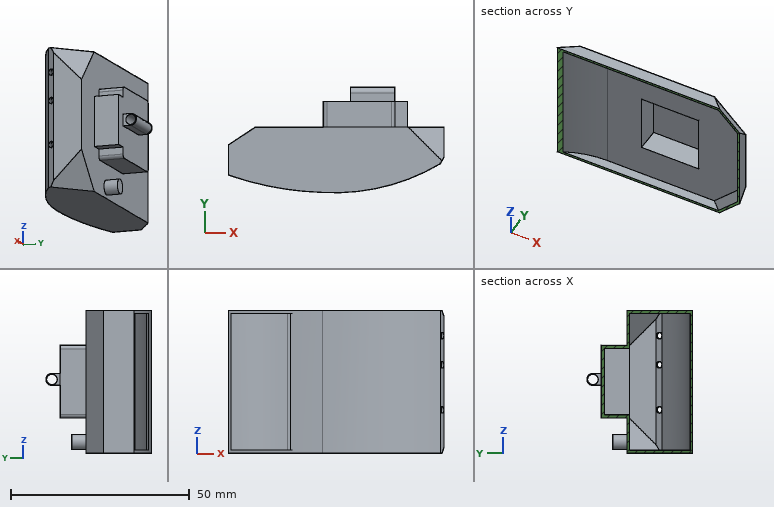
import cadquery as cq
import math

length = 60.35
height = 40.0
back_y = 13.4
left_chamfer_x = 7.5
left_chamfer_y = 4.95
crest = (26.3, -4.9)
left_arc_mid = (13.3, -3.5)
right_arc_mid = (43.2, -3.4)
bevel_start = (59.25, 3.15)
bevel_end = (length, 5.05)
corner_cut = 10.0
wall = 0.7
box_wall = 0.95

window_left = 0.7
window_right = 17.25
window_margin = 0.9
window_undercut = 1.8
window_lip_y = -4.15

cavity_arc_end_x = 16.55
cavity_arc_radius = 28.95

box_left = 26.5
box_right = 46.6
box_bottom = 9.9
box_top = 30.3
box_depth = 7.25
box_radius = 1.0
side_block_right = 50.15
side_block_inset = 3.0
box_back_y = back_y + box_depth

loop_left = 34.1
loop_radius = 1.7
bore_radius = 1.45
loop_y = 22.95
loop_z = 20.7
peg_diameter = 4.2
peg_length = 4.0
peg_x = (loop_left + box_right) / 2
peg_z = 3.2

bevel_hole_diameter = 1.8
bevel_hole_depth = 1.8
bevel_hole_heights = (12.2, 24.8, 32.95)


def block(x_range, y_range, z_range):
    """Axis-aligned block between the given limits."""
    (x0, x1), (y0, y1), (z0, z1) = x_range, y_range, z_range
    return cq.Workplane("XY").box(x1 - x0, y1 - y0, z1 - z0, centered=False).translate((x0, y0, z0))


def corner_wedge(z_corner, z_direction, leg):
    """Three-legged wedge at a right back corner, pointing into the body."""
    corner = cq.Vector(length, back_y, z_corner)
    along_x = corner - cq.Vector(leg, 0, 0)
    along_y = corner - cq.Vector(0, leg, 0)
    along_z = corner + cq.Vector(0, 0, z_direction * leg)
    triples = (
        (corner, along_x, along_y),
        (corner, along_x, along_z),
        (corner, along_y, along_z),
        (along_x, along_y, along_z),
    )
    faces = [cq.Face.makeFromWires(cq.Wire.makePolygon(list(t), close=True)) for t in triples]
    return cq.Workplane(cq.Solid.makeSolid(cq.Shell.makeShell(faces)))


def cut_corners(solid, leg):
    """Cut the upper and lower right back corners."""
    return solid.cut(corner_wedge(height, -1, leg)).cut(corner_wedge(0, 1, leg))


def outline():
    """Closed plan outline of the housing."""
    return (
        cq.Workplane("XY")
        .threePointArc(left_arc_mid, crest)
        .threePointArc(right_arc_mid, bevel_start)
        .lineTo(*bevel_end)
        .lineTo(length, back_y)
        .lineTo(left_chamfer_x, back_y)
        .lineTo(0, back_y - left_chamfer_y)
        .close()
    )


housing = cut_corners(outline().extrude(height), corner_cut)

cavity = (
    outline().offset2D(-wall)
    .extrude(height - 2 * window_margin)
    .translate((0, 0, window_margin))
)
cavity = cut_corners(cavity, corner_cut + math.sqrt(3) * wall)

cavity_back_y = back_y - wall
arc_filler = block(
    (0, cavity_arc_end_x),
    (back_y - left_chamfer_y - wall, back_y),
    (0, height),
).cut(
    cq.Workplane("XY")
    .center(cavity_arc_end_x, cavity_back_y - cavity_arc_radius)
    .circle(cavity_arc_radius)
    .extrude(height)
)
cavity = cavity.cut(arc_filler)

box = block((box_left, box_right), (back_y, box_back_y), (box_bottom, box_top))
box = box.edges("|Y").fillet(box_radius)
side_block = block(
    (box_right - box_wall, side_block_right),
    (back_y, box_back_y),
    (box_bottom + side_block_inset, box_top - side_block_inset),
)
box_cavity = block(
    (box_left + box_wall, box_right - box_wall),
    (back_y - box_wall, box_back_y - box_wall),
    (box_bottom + box_wall, box_top - box_wall),
)
loop_plane = cq.Workplane("YZ", origin=(loop_left, loop_y, loop_z))
loop_length = box_right - loop_left
loop = loop_plane.circle(loop_radius).extrude(loop_length)
loop_tab = block(
    (loop_left, box_right),
    (box_back_y, loop_y),
    (loop_z - loop_radius, loop_z + loop_radius),
)
loop_bore = loop_plane.circle(bore_radius).extrude(loop_length)
peg = (
    cq.Workplane("XZ", origin=(peg_x, back_y, peg_z))
    .circle(peg_diameter / 2)
    .extrude(-peg_length)
)

window_back_y = back_y - left_chamfer_y - wall
window = (
    cq.Workplane("XY", origin=(0, 0, window_margin))
    .moveTo(window_left, crest[1])
    .lineTo(window_right, crest[1])
    .lineTo(window_right, window_lip_y)
    .lineTo(window_right + window_undercut, window_lip_y + wall)
    .lineTo(window_right, window_back_y)
    .lineTo(window_left, window_back_y)
    .close()
    .extrude(height - 2 * window_margin)
)

result = housing.union(box).union(side_block).union(loop).union(loop_tab).union(peg)
result = result.cut(cavity).cut(box_cavity).cut(window).cut(loop_bore)

bevel_x = bevel_end[0] - bevel_start[0]
bevel_y = bevel_end[1] - bevel_start[1]
inward = cq.Vector(-bevel_y, bevel_x, 0)
for hole_z in bevel_hole_heights:
    center = cq.Vector(bevel_start[0] + bevel_x / 2, bevel_start[1] + bevel_y / 2, hole_z)
    hole = cq.Solid.makeCylinder(bevel_hole_diameter / 2, bevel_hole_depth, center, inward)
    result = result.cut(cq.Workplane(hole))